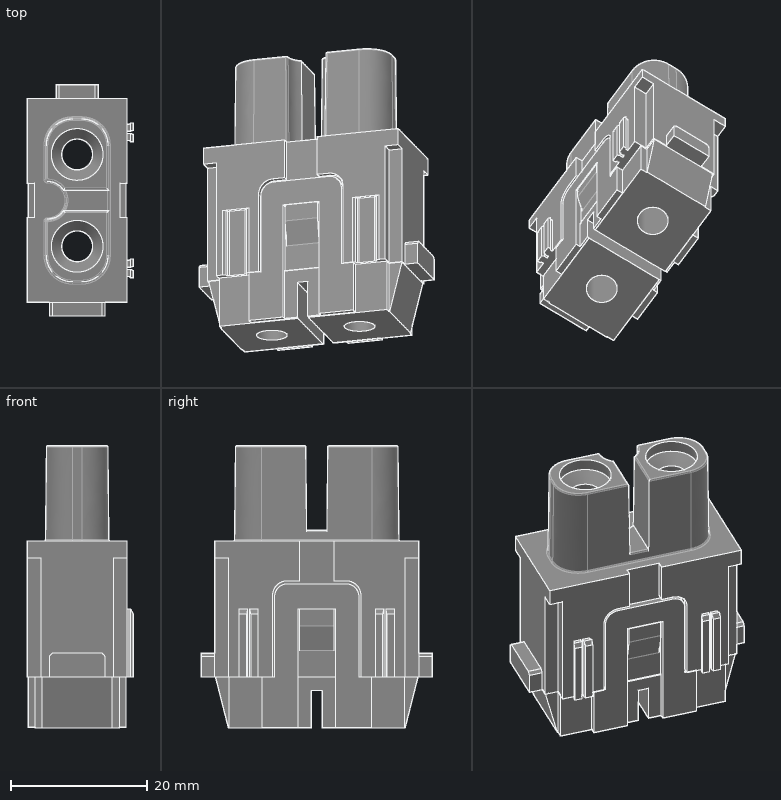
import cadquery as cq
import math

total_height = 41.5
total_width = 15.6
total_length = 34.0

housing_width = 14.7
housing_length = 30.0
deck_z = 27.5
flange_underside_z = 25.0
skirt_top_z = 7.5
corner_notch = 2.0

skirt_width = 12.4
skirt_pad_width = 14.4
skirt_pad_half_length = 8.05
skirt_pad_gap = 0.1
skirt_core_setback = 0.1
end_wedge_width = 10.3
end_wedge_taper = 1.9

panel_half_width = 6.2
panel_top_z = 21.2
panel_corner_radius = 1.9
panel_gap_side = 0.3
panel_gap_top = 0.45
panel_gap_floor_x = 6.3
centre_channel_width = 5.0

window_width = 5.5
window_top_z = 17.5
window_floor_x = 6.3
window_lower_floor_x = 6.5
ramp_width = 5.0
ramp_lip_x = 7.1
ramp_lip_z = 15.0
ramp_foot_z = 11.4
cable_slot_width = 1.6
cable_slot_height = 5.5

coupling_y = 10.0
coupling_top_z = 17.5
groove_mouth_half = 2.05
groove_shoulder_half = 1.6
groove_throat_half = 1.45
groove_floor_half = 1.2
groove_shoulder_depth = 0.2
groove_throat_depth = 0.5
groove_depth = 0.6
rib_split_half = 0.15
rib_head_inner = 0.3
rib_waist_outer = 1.2
rib_head_outer = 1.4
rib_waist_height = 0.3
rib_head_height = 0.5
rib_top_chamfer_height = 0.7
rib_top_chamfer_depth = 0.4

front_ear_width = 8.2
back_ear_width = 6.2
ear_height = 3.5
ear_chamfer = 0.45

tower_width = 9.35
tower_length = 24.2
tower_corner_radius = 4.0
tower_draft = 0.6
tower_scallop_half_width = 2.75
tower_scallop_depth = 3.1
tower_scallop_corner_round = 0.3
tower_edge_round = 0.2
tower_foot_round = 0.2
tower_gap_bottom_width = 2.95
tower_gap_top_width = 3.2
tower_gap_floor_z = 29.1

bore_pitch = 13.5
bore_diameter = 4.5
mouth_diameter = 7.6
mouth_depth = 1.75

half_width = housing_width / 2
half_length = housing_length / 2
skirt_length = housing_length - 2 * corner_notch
panel_face_x = skirt_pad_width / 2
ear_reach = (total_length - housing_length) / 2
rib_reach = total_width - housing_width
tower_height = total_height - deck_z
SIDES = (-1, 1)


def block(x_range, y_range, z_range):
    """Axis-aligned box given by its low and high limits."""
    (x0, x1), (y0, y1), (z0, z1) = x_range, y_range, z_range
    return cq.Workplane("XY").box(x1 - x0, y1 - y0, z1 - z0, centered=False).translate((x0, y0, z0))


def centred(width):
    return (-width / 2, width / 2)


def mirrored_x(solid):
    return solid.mirror("YZ")


def make_housing():
    height_range = (skirt_top_z, deck_z)
    housing = block(centred(housing_width), centred(housing_length), height_range)
    for sx in SIDES:
        for sy in SIDES:
            relief = (
                cq.Workplane("XY", origin=(sx * half_width, sy * half_length, skirt_top_z))
                .rect(2 * corner_notch, 2 * corner_notch)
                .extrude(flange_underside_z - skirt_top_z)
            )
            housing = housing.cut(relief)
    return housing


def make_skirt():
    core = block(centred(skirt_width), centred(skirt_length - 2 * skirt_core_setback), (0, skirt_top_z))
    pads = block(
        centred(skirt_pad_width),
        centred(2 * skirt_pad_half_length),
        (skirt_pad_gap, skirt_top_z),
    )
    bottom_half = skirt_length / 2
    top_half = bottom_half + end_wedge_taper
    wedge = (
        cq.Workplane("YZ")
        .polyline([(-bottom_half, 0), (bottom_half, 0), (top_half, skirt_top_z), (-top_half, skirt_top_z)])
        .close()
        .extrude(end_wedge_width / 2, both=True)
    )
    return core.union(pads).union(wedge)


def make_ear(width, direction):
    """Retaining ear on one end face, with its two upper edges chamfered."""
    ear = (
        block(centred(width), (0, ear_reach), (skirt_top_z, skirt_top_z + ear_height))
        .edges("|Y and >Z")
        .chamfer(ear_chamfer)
        .translate((0, half_length, 0))
    )
    return ear if direction > 0 else ear.mirror("XZ")


def arch(half_width_y, top_z, radius, x_range):
    """Upright plate with rounded upper corners, standing on the skirt."""
    return (
        block(x_range, centred(2 * half_width_y), (skirt_top_z, top_z))
        .edges("|X and >Z")
        .fillet(radius)
    )


def make_panel_cutter():
    """Shallow recess over the +X latch panel, the deeper gap around it and the channel above."""
    outer_half = panel_half_width + panel_gap_side
    outer_top = panel_top_z + panel_gap_top
    outer_radius = panel_corner_radius + panel_gap_side
    pocket = arch(outer_half, outer_top, outer_radius, (panel_gap_floor_x, half_width))
    panel = arch(panel_half_width, panel_top_z, panel_corner_radius, (panel_gap_floor_x, panel_face_x))
    channel = block(
        (panel_gap_floor_x, half_width), centred(centre_channel_width), (outer_top, deck_z)
    )
    return pocket.cut(panel).union(channel)


def make_window_cutter():
    """Window in the +X latch panel, leaving a ramp that faces downward."""
    lower = block((window_lower_floor_x, half_width), centred(window_width), (0, skirt_top_z))
    upper = block((window_floor_x, panel_face_x), centred(window_width), (skirt_top_z, window_top_z))
    ramp = (
        cq.Workplane("XZ")
        .polyline(
            [
                (window_floor_x, window_top_z),
                (ramp_lip_x, window_top_z),
                (ramp_lip_x, ramp_lip_z),
                (window_floor_x, ramp_foot_z),
            ]
        )
        .close()
        .extrude(ramp_width / 2, both=True)
    )
    return lower.union(upper.cut(ramp))


def make_coupling_groove(y):
    """Vertical groove in the -X face with stepped, tapering sides."""
    side_profile = [
        (0, groove_mouth_half),
        (groove_shoulder_depth, groove_shoulder_half),
        (groove_throat_depth, groove_throat_half),
        (groove_depth, groove_floor_half),
    ]
    points = [(-half_width + d, y + h) for d, h in side_profile]
    points += [(-half_width + d, y - h) for d, h in reversed(side_profile)]
    return (
        cq.Workplane("XY", origin=(0, 0, skirt_top_z))
        .polyline(points)
        .close()
        .extrude(coupling_top_z - skirt_top_z)
    )


def make_coupling_rib(y):
    """Pair of hooked prongs on the +X face, bevelled at the top."""
    prong_profile = [
        (0, rib_split_half),
        (rib_head_height, rib_split_half),
        (rib_reach, rib_head_inner),
        (rib_reach, rib_head_outer),
        (rib_head_height, rib_head_outer),
        (rib_waist_height, rib_waist_outer),
        (0, rib_waist_outer),
    ]
    tip_x = half_width + rib_reach
    bevel = (
        cq.Workplane("XZ")
        .polyline(
            [
                (tip_x, coupling_top_z),
                (tip_x - rib_top_chamfer_depth, coupling_top_z),
                (tip_x, coupling_top_z - rib_top_chamfer_height),
            ]
        )
        .close()
        .extrude(half_length, both=True)
    )
    rib = cq.Workplane("XY")
    for side in SIDES:
        prong = (
            cq.Workplane("XY", origin=(0, 0, skirt_top_z))
            .polyline([(half_width + x, y + side * offset) for x, offset in prong_profile])
            .close()
            .extrude(coupling_top_z - skirt_top_z)
        )
        rib = rib.add(prong.cut(bevel))
    return rib.combine()


def make_towers():
    """Drafted tower block, scalloped on the -X side and split by the gap along X."""
    half_w = tower_width / 2
    half_l = tower_length / 2
    arc_x = half_w - tower_corner_radius
    arc_y = half_l - tower_corner_radius
    diagonal = tower_corner_radius * math.sqrt(0.5)
    towers = (
        cq.Workplane("XY", origin=(0, 0, deck_z))
        .moveTo(-half_w, tower_scallop_half_width)
        .lineTo(-half_w, arc_y)
        .threePointArc((-arc_x - diagonal, arc_y + diagonal), (-arc_x, half_l))
        .lineTo(arc_x, half_l)
        .threePointArc((arc_x + diagonal, arc_y + diagonal), (half_w, arc_y))
        .lineTo(half_w, -arc_y)
        .threePointArc((arc_x + diagonal, -arc_y - diagonal), (arc_x, -half_l))
        .lineTo(-arc_x, -half_l)
        .threePointArc((-arc_x - diagonal, -arc_y - diagonal), (-half_w, -arc_y))
        .lineTo(-half_w, -tower_scallop_half_width)
        .threePointArc((-half_w + tower_scallop_depth, 0), (-half_w, tower_scallop_half_width))
        .close()
        .extrude(tower_height, taper=tower_draft)
    )
    scallop_corners = cq.selectors.BoxSelector(
        (-half_w - tower_edge_round, -2 * tower_scallop_half_width, deck_z + tower_edge_round),
        (-half_w + 2 * tower_edge_round, 2 * tower_scallop_half_width, total_height - tower_edge_round),
    )
    towers = towers.edges(scallop_corners).fillet(tower_scallop_corner_round)
    bottom_half = tower_gap_bottom_width / 2
    top_half = tower_gap_top_width / 2
    gap = (
        cq.Workplane("YZ")
        .polyline(
            [
                (-bottom_half, tower_gap_floor_z),
                (bottom_half, tower_gap_floor_z),
                (top_half, total_height),
                (-top_half, total_height),
            ]
        )
        .close()
        .extrude(tower_width, both=True)
    )
    gap_floor_ends = cq.selectors.BoxSelector(
        (-half_w, -bottom_half / 2, tower_gap_floor_z - tower_edge_round),
        (half_w, bottom_half / 2, tower_gap_floor_z + tower_edge_round),
    )
    towers = towers.cut(gap).edges(gap_floor_ends).fillet(tower_edge_round)
    return towers.faces(">Z").edges().fillet(tower_edge_round)


def make_contact_bore(y):
    """Through bore with a straight mouth and a 45 degree cone below it."""
    bore_radius = bore_diameter / 2
    mouth_radius = mouth_diameter / 2
    mouth_floor_z = total_height - mouth_depth
    cone_end_z = mouth_floor_z - (mouth_radius - bore_radius)
    return (
        cq.Workplane("XZ")
        .polyline(
            [
                (0, 0),
                (bore_radius, 0),
                (bore_radius, cone_end_z),
                (mouth_radius, mouth_floor_z),
                (mouth_radius, total_height),
                (0, total_height),
            ]
        )
        .close()
        .revolve(360, (0, 0, 0), (0, 1, 0))
        .translate((0, y, 0))
    )


def round_tower_foot(body):
    """Fillet where the towers meet the deck."""
    margin = 2 * tower_foot_round
    foot = cq.selectors.BoxSelector(
        (-tower_width / 2 - margin, -tower_length / 2 - margin, deck_z - tower_foot_round),
        (tower_width / 2 + margin, tower_length / 2 + margin, deck_z + tower_foot_round),
    )
    return body.edges(foot).fillet(tower_foot_round)


body = make_housing().union(make_skirt())
body = round_tower_foot(body.union(make_towers()))
body = body.union(make_ear(front_ear_width, -1)).union(make_ear(back_ear_width, 1))

for cutter in (make_panel_cutter(), make_window_cutter()):
    body = body.cut(cutter).cut(mirrored_x(cutter))

body = body.cut(block(centred(housing_width), centred(cable_slot_width), (0, cable_slot_height)))

for side in SIDES:
    body = body.cut(make_coupling_groove(side * coupling_y))
    body = body.union(make_coupling_rib(side * coupling_y))
    body = body.cut(make_contact_bore(side * bore_pitch / 2))

result = body